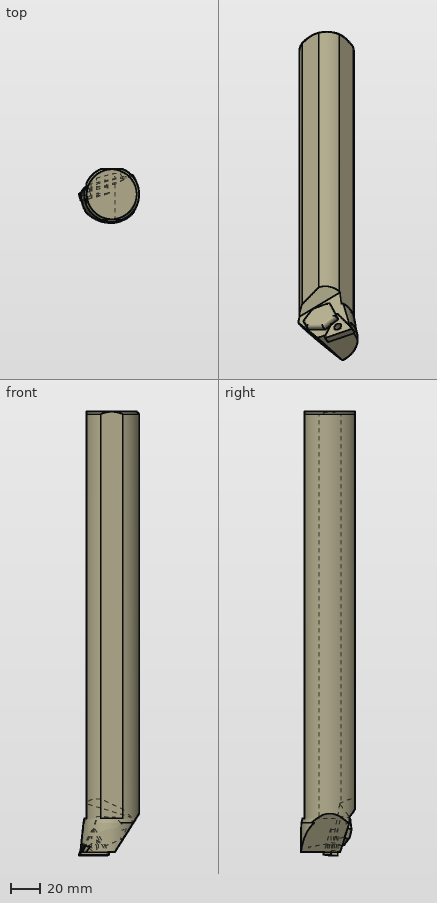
import cadquery as cq
import math

TOP_Z = 306.0
BIG = 122.5

SHANK_RADIUS = 19.0
FLAT_DISTANCE = 17.5
SHANK_END_Z = 25.7
CAP_RADIUS = 17.0
CAP_CHAMFER_HEIGHT = 1.8

HEAD_BOTTOM_Z = 2.5
COLLAR_END_Z = 22.5
COLLAR_RADIUS = 19.5
HEAD_RADIUS = 20.0
HEAD_SHIFT = (-1.8, -1.2)

TRIM_LINE = (-0.3, -20.0)
TRIM_RADIUS_LEFT = 24.0
TRIM_RADIUS_RIGHT = 17.0

SLOPE_TOP = (19.0, 29.0)
SLOPE_BOTTOM_X = 2.0

INSCRIBED_DIAMETER = 12.5
INSERT_THICKNESS = 5.0
NOSE_RADIUS = 0.8
INSERT_HOLE_DIAMETER = 5.2
CORNER_ANGLE = math.radians(60)
INSERT_SIDE = INSCRIBED_DIAMETER * math.sqrt(3)
INSERT_HEIGHT = INSERT_SIDE * math.sin(CORNER_ANGLE)

CORNER = (-23.3, 0.0, 0.0)
RADIAL_RAKE = 0.27
AXIAL_RAKE = 0.14
RAKE_PLANE = cq.Plane(origin=CORNER, xDir=(1, RADIAL_RAKE, 0), normal=(RADIAL_RAKE, -1, AXIAL_RAKE))

RAMP_Z = 23.0
RAMP_FALL_X = 0.47
RAMP_RISE_Y = 0.73

RELIEF_SETBACK = 0.3
RELIEF_HEIGHT = 8.5
RELIEF_FALL = 0.16
RELIEF_DRIFT = 0.2
RELIEF_PLANE = cq.Plane(origin=CORNER, xDir=(1, RELIEF_DRIFT, 0), normal=(RELIEF_DRIFT, -1, -RELIEF_FALL))

CLAMP_OUTLINE = [(14.7, 27.5), (10.0, 13.0), (20.5, 7.3), (32.5, 12.2), (35.0, 19.0), (27.5, 27.0)]
CLAMP_HEIGHT = 4.3
CLAMP_ROUNDING = 2.0


def make_shank():
    length = TOP_Z - SHANK_END_Z
    bar = cq.Workplane("XY").workplane(offset=SHANK_END_Z).circle(SHANK_RADIUS).extrude(length)
    cap_step = SHANK_RADIUS - CAP_RADIUS
    bar = bar.faces(">Z").chamfer(CAP_CHAMFER_HEIGHT, cap_step)
    width = SHANK_RADIUS + FLAT_DISTANCE
    flats = (
        cq.Workplane("XY")
        .box(width, 2 * FLAT_DISTANCE, TOP_Z, centered=(False, True, False))
        .translate((-FLAT_DISTANCE, 0, 0))
    )
    return bar.intersect(flats)


def make_head():
    collar = (
        cq.Workplane("XY").workplane(offset=COLLAR_END_Z).circle(COLLAR_RADIUS)
        .workplane(offset=SHANK_END_Z - COLLAR_END_Z).circle(SHANK_RADIUS).loft()
    )
    taper = (
        cq.Workplane("XY").workplane(offset=HEAD_BOTTOM_Z).center(*HEAD_SHIFT).circle(HEAD_RADIUS)
        .workplane(offset=COLLAR_END_Z - HEAD_BOTTOM_Z).center(-HEAD_SHIFT[0], -HEAD_SHIFT[1])
        .circle(COLLAR_RADIUS).loft()
    )
    return collar.union(taper.intersect(make_trim()))


def make_trim():
    line_x, line_y = TRIM_LINE
    left_x = line_x - TRIM_RADIUS_LEFT
    right_x = line_x + TRIM_RADIUS_RIGHT
    left_y = line_y + TRIM_RADIUS_LEFT
    right_y = line_y + TRIM_RADIUS_RIGHT
    return (
        cq.Workplane("XY")
        .moveTo(right_x, right_y)
        .radiusArc(TRIM_LINE, TRIM_RADIUS_RIGHT)
        .radiusArc((left_x, left_y), TRIM_RADIUS_LEFT)
        .lineTo(left_x, BIG).lineTo(right_x, BIG).close()
        .extrude(TOP_Z)
    )


def make_slope_cut():
    return (
        cq.Workplane("XZ")
        .moveTo(*SLOPE_TOP).lineTo(SLOPE_BOTTOM_X, HEAD_BOTTOM_Z)
        .lineTo(BIG, HEAD_BOTTOM_Z).lineTo(BIG, SLOPE_TOP[1]).close()
        .extrude(BIG / 2, both=True)
    )


def make_chip_pocket():
    above_rake = cq.Workplane(RAKE_PLANE).rect(2 * BIG, 2 * BIG).extrude(-BIG)
    ramp = cq.Plane(origin=(0, 0, RAMP_Z), xDir=(1, 0, -RAMP_FALL_X), normal=(RAMP_FALL_X, -RAMP_RISE_Y, 1))
    below_ramp = cq.Workplane(ramp).rect(2 * BIG, 2 * BIG).extrude(-BIG)
    return above_rake.intersect(below_ramp)


def make_insert_blank():
    return (
        cq.Workplane(RAKE_PLANE)
        .polyline([(0, 0), (INSERT_SIDE, 0), (INSERT_SIDE / 2, INSERT_HEIGHT)]).close()
        .extrude(INSERT_THICKNESS)
        .edges(cq.selectors.ParallelDirSelector(RAKE_PLANE.zDir)).fillet(NOSE_RADIUS)
    )


def make_insert():
    hole = (
        cq.Workplane(RAKE_PLANE).center(INSERT_SIDE / 2, INSCRIBED_DIAMETER / 2)
        .circle(INSERT_HOLE_DIAMETER / 2).extrude(INSERT_THICKNESS)
    )
    return make_insert_blank().cut(hole)


def make_flank_relief():
    start = RELIEF_SETBACK / math.sin(CORNER_ANGLE)
    run = RELIEF_HEIGHT / math.tan(CORNER_ANGLE)
    return (
        cq.Workplane(RELIEF_PLANE)
        .polyline([(start, 0), (start + run, RELIEF_HEIGHT), (-BIG, RELIEF_HEIGHT), (-BIG, 0)]).close()
        .extrude(BIG)
    )


def make_clamp():
    pad = cq.Workplane(RAKE_PLANE).polyline(CLAMP_OUTLINE).close().extrude(-CLAMP_HEIGHT)
    outer_face = cq.selectors.DirectionMinMaxSelector(RAKE_PLANE.zDir, False)
    return pad.faces(outer_face).edges().fillet(CLAMP_ROUNDING)


holder = (
    make_shank().union(make_head())
    .cut(make_chip_pocket())
    .union(make_clamp())
    .cut(make_slope_cut())
    .cut(make_flank_relief())
    .cut(make_insert_blank())
)
insert = make_insert()
result = cq.Compound.makeCompound([holder.val(), insert.val()])